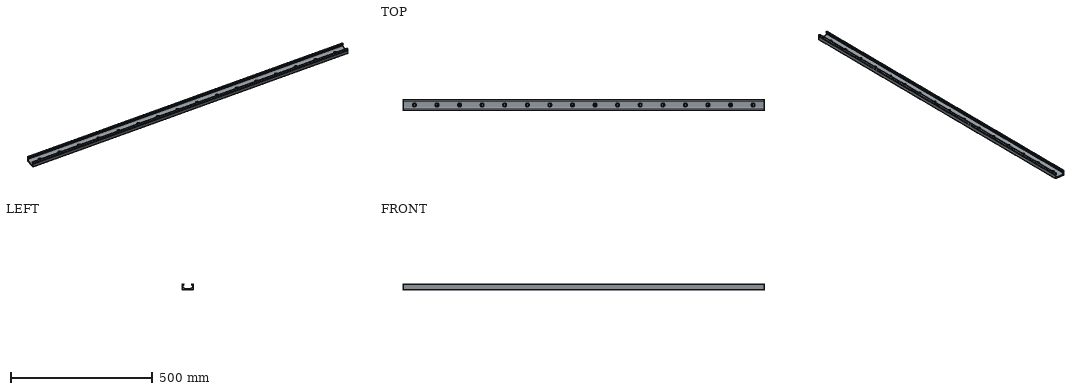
import cadquery as cq
import math

LENGTH = 1280.0
WIDTH = 40.01
HEIGHT = 19.74

FLOOR_THICKNESS = 4.75
CORNER_RADIUS = 1.0
GROOVE_HALF_WIDTH = 16.4
LIP_HALF_GAP = 13.9
LIP_TIP_HEIGHT = 2.04
GROOVE_TOP_Z = 14.0
RAMP_START = 11.25
RAMP_ANGLE = math.radians(45)
RAMP_RADIUS = 6.2

HOLE_PITCH = 80.0
HOLE_COUNT = 16
HOLE_DIAMETER = 7.0
COUNTERBORE_DIAMETER = 14.2
COUNTERBORE_DEPTH = 2.0

half_width = WIDTH / 2
lip_bottom_z = HEIGHT - LIP_TIP_HEIGHT
ramp_top_z = FLOOR_THICKNESS + (GROOVE_HALF_WIDTH - RAMP_START) * math.tan(RAMP_ANGLE)
blend_start = RAMP_START - RAMP_RADIUS * math.tan(RAMP_ANGLE / 2)


def blend_point(angle):
    """Point on the floor-to-ramp blend where its tangent has turned by the given angle."""
    y = blend_start + RAMP_RADIUS * math.sin(angle)
    z = FLOOR_THICKNESS + RAMP_RADIUS * (1 - math.cos(angle))
    return (y, z)


def make_rail():
    """Extrude one half of the C-shaped section, mirror it and round the outer corners."""
    half_rail = (
        cq.Workplane("YZ")
        .lineTo(half_width, 0)
        .lineTo(half_width, HEIGHT)
        .lineTo(LIP_HALF_GAP, HEIGHT)
        .lineTo(LIP_HALF_GAP, lip_bottom_z)
        .lineTo(GROOVE_HALF_WIDTH, GROOVE_TOP_Z)
        .lineTo(GROOVE_HALF_WIDTH, ramp_top_z)
        .lineTo(*blend_point(RAMP_ANGLE))
        .threePointArc(blend_point(RAMP_ANGLE / 2), blend_point(0))
        .lineTo(0, FLOOR_THICKNESS)
        .close()
        .extrude(LENGTH / 2, both=True)
        .faces(">Y")
        .edges("|X")
        .fillet(CORNER_RADIUS)
    )
    return half_rail.union(half_rail.mirror("XZ")).clean()


def cut_mounting_holes(rail):
    """Cut the row of counterbored through holes, with the counterbores in the floor's top face."""
    first_x = -HOLE_PITCH * (HOLE_COUNT - 1) / 2
    centres = [(first_x + i * HOLE_PITCH, 0) for i in range(HOLE_COUNT)]
    floor_top = rail.copyWorkplane(cq.Workplane("XY", origin=(0, 0, FLOOR_THICKNESS)))
    return floor_top.pushPoints(centres).cboreHole(
        HOLE_DIAMETER, COUNTERBORE_DIAMETER, COUNTERBORE_DEPTH, depth=FLOOR_THICKNESS
    )


result = cut_mounting_holes(make_rail())